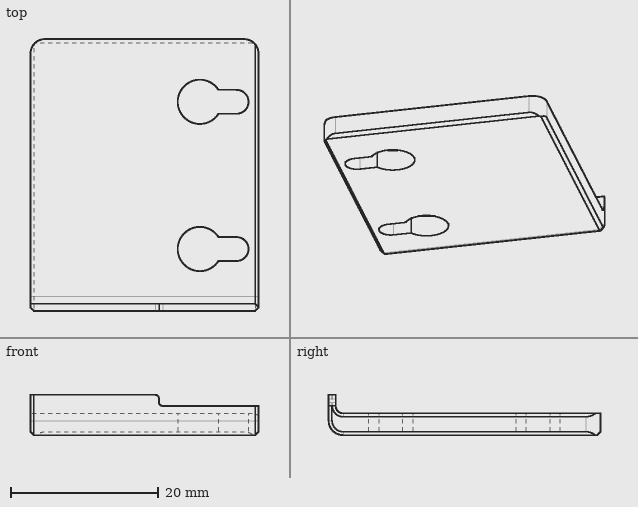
import cadquery as cq
import math

width = 31.0
depth = 36.97
height = 5.5

plate_thickness = 3.0
lip_thickness = 1.0
inner_bend_radius = 1.0
outer_bend_radius = 2.0
edge_chamfer = 0.48
back_corner_radius = 2.0

step_x = 17.5
low_lip_height = 4.0
step_radius = 0.5

keyhole_diameter = 6.0
slot_width = 3.2
keyhole_to_right = 8.0
slot_end_to_right = 3.0
keyhole_x = width - keyhole_to_right
slot_end_x = width - slot_end_to_right
first_keyhole_y = 8.43
keyhole_pitch = 20.0


def bracket_blank():
    """L-shaped side profile extruded across the width, front face at Y = 0."""
    bend_y = lip_thickness + inner_bend_radius
    bend_z = plate_thickness + inner_bend_radius
    return (
        cq.Workplane("YZ")
        .moveTo(outer_bend_radius, 0)
        .lineTo(depth, 0)
        .lineTo(depth, plate_thickness)
        .lineTo(bend_y, plate_thickness)
        .radiusArc((lip_thickness, bend_z), inner_bend_radius)
        .lineTo(lip_thickness, height)
        .lineTo(0, height)
        .lineTo(0, outer_bend_radius)
        .radiusArc((outer_bend_radius, 0), -outer_bend_radius)
        .close()
        .extrude(width)
    )


def chamfer_edges(body):
    """Bevel the outer bend on both sides, the inner bend on the right, and the back bottom edge."""
    middle_y = depth / 2
    outer_lip_middle_z = (outer_bend_radius + height) / 2
    inner_lip_middle_z = (plate_thickness + inner_bend_radius + height) / 2
    arc_inset = 1 - math.sqrt(0.5)
    outer_inset = outer_bend_radius * arc_inset
    inner_inset = inner_bend_radius * arc_inset

    outer_edge = [(middle_y, 0), (outer_inset, outer_inset), (0, outer_lip_middle_z)]
    inner_edge = [
        (middle_y, plate_thickness),
        (lip_thickness + inner_inset, plate_thickness + inner_inset),
        (lip_thickness, inner_lip_middle_z),
    ]
    edge_points = [(x, y, z) for x in (0, width) for y, z in outer_edge]
    edge_points += [(width, y, z) for y, z in inner_edge]

    edges = body.edges(">Y and <Z")
    for point in edge_points:
        edges = edges.add(body.edges(cq.selectors.NearestToPointSelector(point)))
    return edges.chamfer(edge_chamfer)


def rounded_back_envelope():
    """Upright block whose two back corners are rounded."""
    block = cq.Workplane("XY").box(width, depth, height, centered=False)
    return block.edges("|Z and >Y").fillet(back_corner_radius)


def lip_step_cutter():
    """Region above the low part of the lip, with a rounded shoulder and a rounded foot."""
    return (
        cq.Workplane("XZ")
        .moveTo(step_x - step_radius, height)
        .radiusArc((step_x, height - step_radius), step_radius)
        .lineTo(step_x, low_lip_height + step_radius)
        .radiusArc((step_x + step_radius, low_lip_height), -step_radius)
        .lineTo(width, low_lip_height)
        .lineTo(width, height)
        .close()
        .extrude(-depth)
    )


def keyhole_cutter(center_y):
    """Round opening with a slot running from it towards the right edge."""
    slot_length = slot_end_x - keyhole_x
    hole = cq.Workplane("XY").center(keyhole_x, center_y).circle(keyhole_diameter / 2).extrude(height)
    slot = (
        cq.Workplane("XY")
        .center(keyhole_x + slot_length / 2, center_y)
        .slot2D(slot_length + slot_width, slot_width)
        .extrude(height)
    )
    return hole.union(slot)


result = chamfer_edges(bracket_blank())
result = result.intersect(rounded_back_envelope())
result = result.cut(lip_step_cutter())
for keyhole_y in (first_keyhole_y, first_keyhole_y + keyhole_pitch):
    result = result.cut(keyhole_cutter(keyhole_y))